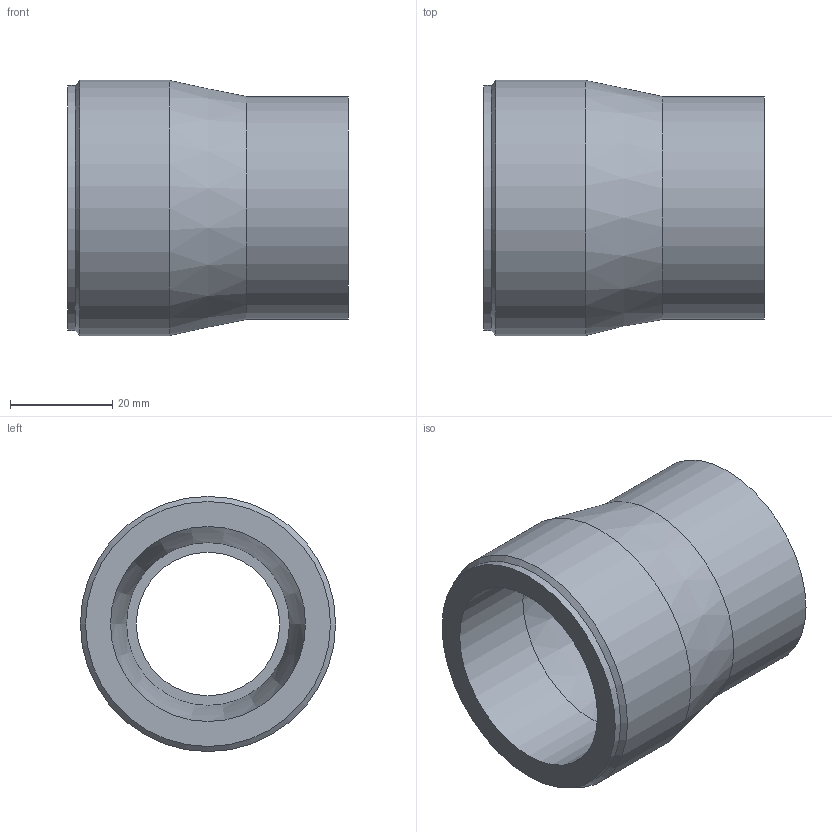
import cadquery as cq

total_length = 55.0
lip_length = 1.5
lip_chamfer_length = 0.9
taper_length = 15.0
outer_taper_start = 20.0
bore_taper_start = 17.5
outer_taper_end = outer_taper_start + taper_length
bore_taper_end = bore_taper_start + taper_length

body_diameter = 50.0
lip_diameter = 48.0
spigot_diameter = 43.7

large_bore_diameter = 38.2
taper_small_diameter = 31.9
small_bore_diameter = 28.1


def revolve_profile(points):
    """Revolve a closed (x, radius) outline about the X axis."""
    outline = cq.Workplane("XY").polyline(points).close()
    return outline.revolve(360, (0, 0, 0), (1, 0, 0))


def outer_body():
    """Solid reducer: lip, body, taper and spigot."""
    lip_radius = lip_diameter / 2
    body_radius = body_diameter / 2
    spigot_radius = spigot_diameter / 2
    return revolve_profile([
        (0, 0),
        (0, lip_radius),
        (lip_length, lip_radius),
        (lip_length + lip_chamfer_length, body_radius),
        (outer_taper_start, body_radius),
        (outer_taper_end, spigot_radius),
        (total_length, spigot_radius),
        (total_length, 0),
    ])


def stepped_bore():
    """Through bore: large cylinder, taper, flat shoulder and small cylinder."""
    large_radius = large_bore_diameter / 2
    taper_small_radius = taper_small_diameter / 2
    small_radius = small_bore_diameter / 2
    return revolve_profile([
        (0, 0),
        (0, large_radius),
        (bore_taper_start, large_radius),
        (bore_taper_end, taper_small_radius),
        (bore_taper_end, small_radius),
        (total_length, small_radius),
        (total_length, 0),
    ])


result = outer_body().cut(stepped_bore())